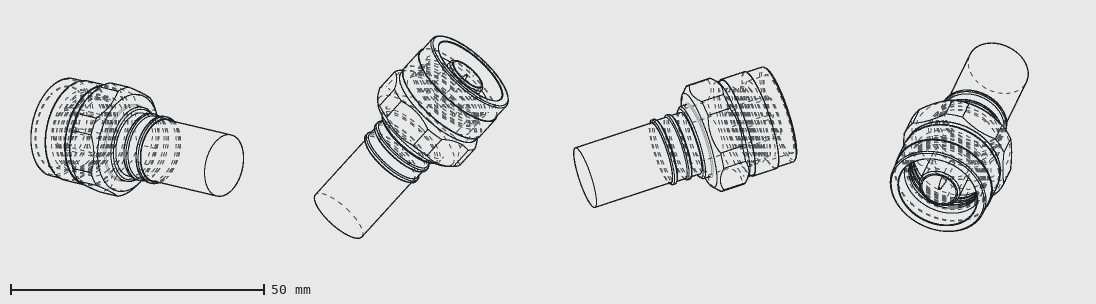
import cadquery as cq
import math


total_length = 41.15

shell_radius = 9.87
shell_chamfer = 0.3
band_radius = 10.08
band_start = 4.0
band_end = 8.93

hex_start = 10.08
hex_end = 17.0
hex_across_flats = 20.55
hex_rounded_width = 22.0
hex_corner_radius = hex_rounded_width / 2
hex_front_bevel = 1.05
hex_rear_bevel = 1.25

collar_radius = 7.5
collar_end = 18.9
collar_chamfer = 0.35
collar_fillet = 0.25

body_radius = 6.38
tube_radius = 6.2
ring_radius = 6.75
ring_base_width = 1.03
ring_crest_width = 0.55
ring_starts = (20.95, 24.03)
body_end = ring_starts[-1] + ring_base_width

mouth_radius = 8.1
mouth_chamfer = 0.12
mouth_depth = 4.0
cavity_floor = 9.87
thread_minor_radius = 7.4
thread_start = mouth_depth + mouth_radius - thread_minor_radius
thread_pitch = 1.2
thread_groove_width = 0.7
thread_groove_angle = 60.0
thread_groove_depth = thread_groove_width / 2 / math.tan(math.radians(thread_groove_angle / 2))
thread_groove_count = 3
last_crest_width = 0.35
undercut_start = (
    thread_start + (thread_groove_count - 1) * thread_pitch + thread_groove_width + last_crest_width
)

sleeve_outer_radius = 4.2
sleeve_inner_radius = 3.55
sleeve_start = 0.95
sleeve_chamfer = 0.35
pin_start = 1.25
pin_tip_radius = 0.2
pin_radius = 0.55
pin_taper_length = 2.45


def revolve_profile(points):
    """Revolve a closed (x, radius) outline about the X axis."""
    return cq.Workplane("XY").polyline(points).close().revolve(360, (0, 0, 0), (1, 0, 0))


def cylinder(start, end, radius):
    return cq.Workplane("YZ", origin=(start, 0, 0)).circle(radius).extrude(end - start)


def make_shell():
    """Shell with a chamfered front edge and a slightly larger band, running into the hexagon."""
    shell = cylinder(0, hex_start + hex_front_bevel, shell_radius).faces("<X").chamfer(shell_chamfer)
    band = cylinder(band_start, band_end, band_radius)
    return shell.union(band)


def make_hexagon():
    """Hexagonal prism, flats facing +Y and -Y, trimmed by a cylinder bevelled at both ends."""
    sharp_width = hex_across_flats / math.cos(math.pi / 6)
    prism = (
        cq.Workplane("YZ", origin=(hex_start, 0, 0))
        .transformed(rotate=(0, 0, 90))
        .polygon(6, sharp_width)
        .extrude(hex_end - hex_start)
    )
    envelope = revolve_profile([
        (hex_start, 0),
        (hex_start, hex_corner_radius - hex_front_bevel),
        (hex_start + hex_front_bevel, hex_corner_radius),
        (hex_end - hex_rear_bevel, hex_corner_radius),
        (hex_end, hex_corner_radius - hex_rear_bevel),
        (hex_end, 0),
    ])
    return prism.intersect(envelope)


def make_collar():
    """Collar with a concave fillet against the hexagon and a chamfered rear edge."""
    return (
        cq.Workplane("XY")
        .moveTo(hex_end, 0)
        .lineTo(hex_end, collar_radius + collar_fillet)
        .radiusArc((hex_end + collar_fillet, collar_radius), -collar_fillet)
        .lineTo(collar_end - collar_chamfer, collar_radius)
        .lineTo(collar_end, collar_radius - collar_chamfer)
        .lineTo(collar_end, 0)
        .close()
        .revolve(360, (0, 0, 0), (1, 0, 0))
    )


def make_ring(start):
    """Raised ring with sloping flanks, rooted at the body surface."""
    end = start + ring_base_width
    flank = (ring_base_width - ring_crest_width) / 2
    return revolve_profile([
        (start, 0),
        (start, body_radius),
        (start + flank, ring_radius),
        (end - flank, ring_radius),
        (end, body_radius),
        (end, 0),
    ])


def make_crimp_body():
    """Ringed crimp body stepping down to the plain rear tube."""
    body = cylinder(collar_end, body_end, body_radius)
    body = body.union(cylinder(collar_end, total_length, tube_radius))
    for start in ring_starts:
        body = body.union(make_ring(start))
    return body


def make_cavity():
    """Space to remove from the mating end: chamfered mouth, thread grooves and undercut."""
    cavity = revolve_profile([
        (0, 0),
        (0, mouth_radius + mouth_chamfer),
        (mouth_chamfer, mouth_radius),
        (mouth_depth, mouth_radius),
        (thread_start, thread_minor_radius),
        (cavity_floor, thread_minor_radius),
        (cavity_floor, 0),
    ])
    thread_root_radius = thread_minor_radius + thread_groove_depth
    for index in range(thread_groove_count):
        start = thread_start + index * thread_pitch
        groove = revolve_profile([
            (start, 0),
            (start, thread_minor_radius),
            (start + thread_groove_width / 2, thread_root_radius),
            (start + thread_groove_width, thread_minor_radius),
            (start + thread_groove_width, 0),
        ])
        cavity = cavity.union(groove)
    return cavity.union(cylinder(undercut_start, cavity_floor, thread_root_radius))


def make_sleeve():
    """Contact sleeve standing on the cavity floor, chamfered on its outer front edge."""
    sleeve = cylinder(sleeve_start, cavity_floor, sleeve_outer_radius).faces("<X").chamfer(sleeve_chamfer)
    return sleeve.cut(cylinder(sleeve_start, cavity_floor, sleeve_inner_radius))


def make_pin():
    """Centre pin with a tapered, blunt tip."""
    return revolve_profile([
        (pin_start, 0),
        (pin_start, pin_tip_radius),
        (pin_start + pin_taper_length, pin_radius),
        (cavity_floor, pin_radius),
        (cavity_floor, 0),
    ])


outside = make_shell().union(make_hexagon()).union(make_collar()).union(make_crimp_body())
result = outside.cut(make_cavity()).union(make_sleeve()).union(make_pin())